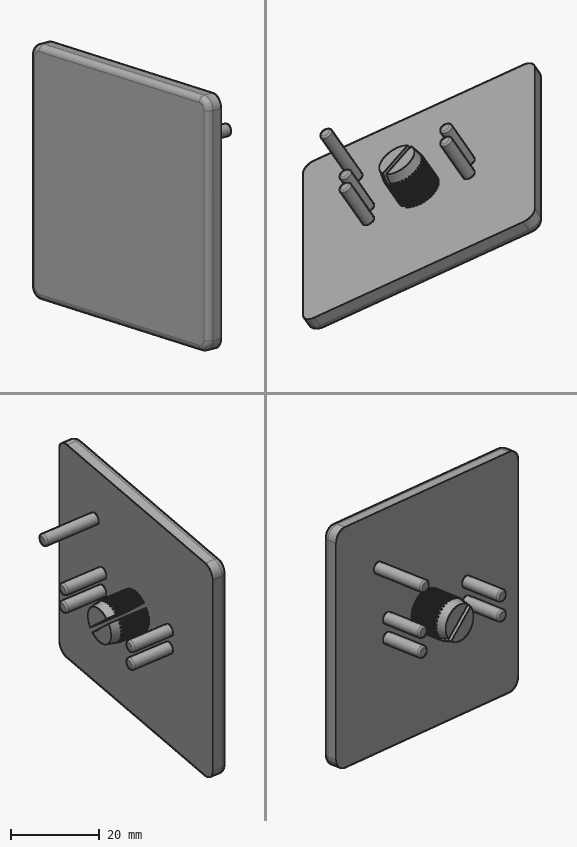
import cadquery as cq
import math

plate_side = 60
plate_thickness = 4.0
plate_corner_radius = 3
plate_edge_radius = 1.5

pin_diameter = 3
pin_tip_radius = 0.5
guide_pin_length = 11.0
guide_pin_spacing_x = 26.05
guide_pin_spacing_z = 5.0
key_pin_length = 14.45
key_pin_offset = 16.0

boss_length = 10.0
crest_radius = 5.2
tooth_count = 34
tooth_depth = 0.15
land_share = 0.35
root_share = 0.3
tip_radius = 4.55
taper_length = 3
slot_width = 1.2
slot_angle = 135
slot_length = 3 * crest_radius


def back_plane(x=0, z=0):
    """Workplane on the back face of the plate; negative extrusions rise along +Y."""
    return cq.Workplane("XZ", origin=(x, plate_thickness, z))


def make_plate():
    plate = cq.Workplane("XZ").rect(plate_side, plate_side).extrude(-plate_thickness)
    plate = plate.edges("|Y").fillet(plate_corner_radius)
    return plate.faces("<Y").edges().fillet(plate_edge_radius)


def make_pin(x, z, length):
    pin = back_plane(x, z).circle(pin_diameter / 2).extrude(-length)
    return pin.faces(">Y").edges().fillet(pin_tip_radius)


def polar_point(radius, angle):
    """Point at an angle in degrees around the boss axis."""
    return (radius * math.cos(math.radians(angle)), radius * math.sin(math.radians(angle)))


def tooth_outline():
    """Corners of the toothed boss section: a flat crest and a flat root per tooth."""
    pitch = 360 / tooth_count
    half_land = land_share * pitch / 2
    half_root = root_share * pitch / 2
    root_radius = crest_radius - tooth_depth
    points = []
    for i in range(tooth_count):
        crest_angle = i * pitch
        root_angle = crest_angle + pitch / 2
        points.append(polar_point(crest_radius, crest_angle - half_land))
        points.append(polar_point(crest_radius, crest_angle + half_land))
        points.append(polar_point(root_radius, root_angle - half_root))
        points.append(polar_point(root_radius, root_angle + half_root))
    return points


def make_taper_envelope():
    """Turned body that trims the teeth to a cone near the boss tip."""
    profile = [
        (0, 0),
        (crest_radius, 0),
        (crest_radius, boss_length - taper_length),
        (tip_radius, boss_length),
        (0, boss_length),
    ]
    plane = cq.Workplane("XY", origin=(0, plate_thickness, 0))
    return plane.polyline(profile).close().revolve(360, (0, 0, 0), (0, 1, 0))


def make_boss():
    knurled = back_plane().polyline(tooth_outline()).close().extrude(-boss_length)
    slot_plane = back_plane().transformed(rotate=(0, 0, slot_angle))
    slot = slot_plane.rect(slot_length, slot_width).extrude(-boss_length)
    return knurled.intersect(make_taper_envelope()).cut(slot)


result = make_plate().union(make_boss())

for side_x in (-1, 1):
    for side_z in (-1, 1):
        pin_x = side_x * guide_pin_spacing_x / 2
        pin_z = side_z * guide_pin_spacing_z / 2
        result = result.union(make_pin(pin_x, pin_z, guide_pin_length))

result = result.union(make_pin(key_pin_offset, key_pin_offset, key_pin_length))